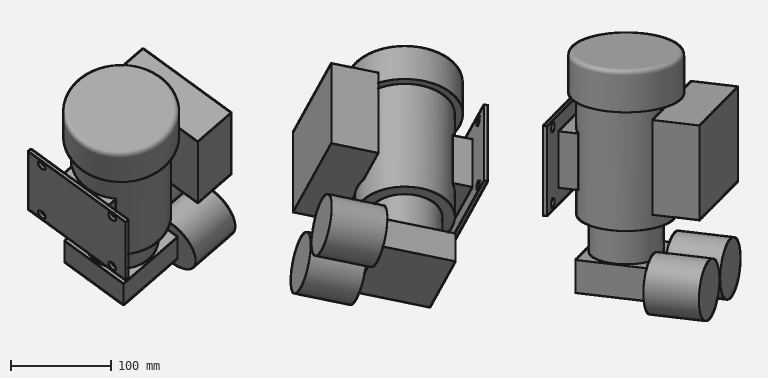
import cadquery as cq

total_height = 262.5
cap_radius = 58.0
cap_bottom = 218.5
cap_fillet = 5.0
body_diameter = 100.0
body_bottom = 89.2
neck_radius = 37.5

block_side = 80.0
block_bottom = 14.2
block_top = 49.4

roller_radius = 31.5
roller_offset = 32.8
roller_back = 98.7

box_width = 119.7
box_front = 48.0
box_back = 97.6
box_bottom = 114.7
box_top = 215.5

mount_height = 150.2
bracket_side = 60.0
bracket_back = -40.5
plate_width = 132.0
plate_height = 95.5
plate_thickness = 4.2
overall_depth = 164.0
plate_front = roller_back - overall_depth
plate_back = plate_front + plate_thickness
hole_diameter = 10.0
hole_spacing_x = 95.3
hole_spacing_z = 80.8


def upright_cylinder(radius, bottom, top):
    return cq.Workplane("XY").workplane(offset=bottom).circle(radius).extrude(top - bottom)


def centred_box(width, front, back, bottom, top):
    """Box centred on X, spanning front..back in Y and bottom..top in Z."""
    box = cq.Workplane("XY").box(width, back - front, top - bottom, centered=(True, False, False))
    return box.translate((0, front, bottom))


def make_motor():
    cap = upright_cylinder(cap_radius, cap_bottom, total_height).faces(">Z").edges().fillet(cap_fillet)
    body = upright_cylinder(body_diameter / 2, body_bottom, cap_bottom)
    neck = upright_cylinder(neck_radius, block_top, body_bottom)
    return body.union(cap).union(neck)


def make_rollers():
    block_back = block_side / 2
    return (
        cq.Workplane("XZ", origin=(0, block_back, roller_radius))
        .pushPoints([(-roller_offset, 0), (roller_offset, 0)])
        .circle(roller_radius)
        .extrude(-(roller_back - block_back))
    )


def make_mount():
    bracket = centred_box(
        bracket_side, plate_back, bracket_back,
        mount_height - bracket_side / 2, mount_height + bracket_side / 2,
    )
    plate = centred_box(
        plate_width, plate_front, plate_back,
        mount_height - plate_height / 2, mount_height + plate_height / 2,
    )
    plate = plate.faces("<Y").workplane(centerOption="CenterOfBoundBox")
    plate = plate.rarray(hole_spacing_x, hole_spacing_z, 2, 2).hole(hole_diameter)
    return bracket.union(plate)


gear_block = centred_box(block_side, -block_side / 2, block_side / 2, block_bottom, block_top)
terminal_box = centred_box(box_width, box_front, box_back, box_bottom, box_top)

result = (
    make_motor()
    .union(gear_block)
    .union(make_rollers())
    .union(terminal_box)
    .union(make_mount())
)